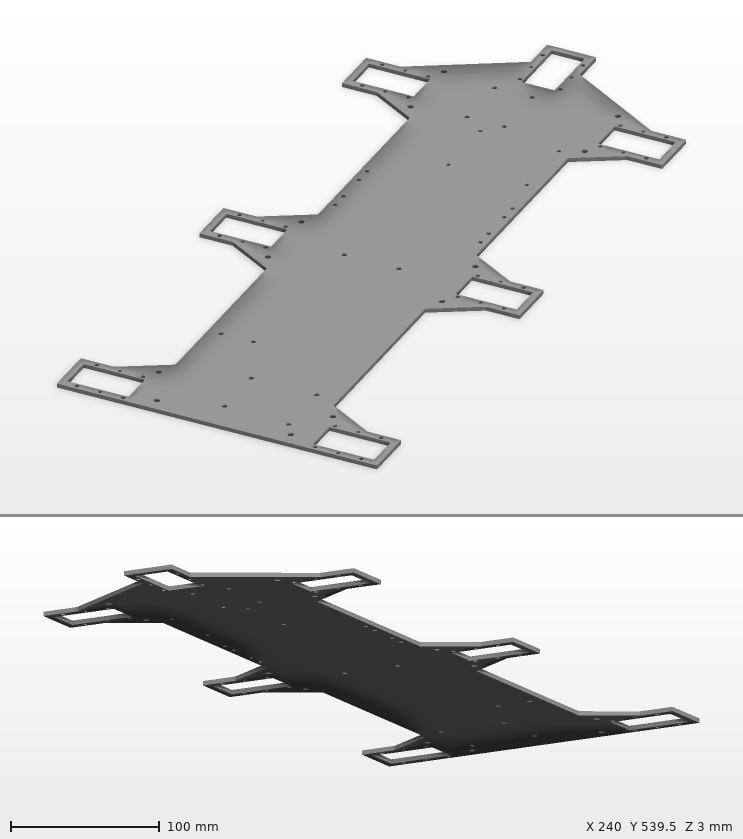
import cadquery as cq
import math

length = 539.5
width = 240.0
thickness = 3.0
body_half_width = 59.5
front_y = length / 2
rear_y = -length / 2
half_width = width / 2

mount_width = 36.5
mount_half_width = mount_width / 2
arm_pitch = 217.0
rear_arm_y = rear_y + mount_half_width
middle_arm_y = rear_arm_y + arm_pitch
front_arm_y = middle_arm_y + arm_pitch
nose_shoulder_y = 245.0

gusset_slope = math.tan(math.radians(30))
gusset_start_x = 95.0
front_gusset_start_x = 94.0

window_length = 46.0
window_width = 25.0
window_tip_wall = 5.0
screw_first = 13.5
screw_pitch = 17.0
screw_side_offset = 15.0
outer_screw_diameter = 3.2
middle_screw_diameter = 2.5

gusset_hole_x = 65.0
gusset_hole_offset = 25.5
gusset_hole_diameter = 4.5

front_bracket_diameter = 3.4
front_bracket_holes = [(x, y) for x in (-25.5, 2.5) for y in (162.0, 204.0)]
board_diameter = 2.9
board_holes = [(x, y) for x in (-9.0, 49.5) for y in (101.0, 149.5)]
edge_diameter = 3.2
edge_holes = [(x, y) for x in (-54.5, 54.5) for y in (20.5, 33.0, 56.5, 69.0)]
center_diameter = 3.6
center_holes = [(x, middle_arm_y) for x in (-20.5, 20.5)]
left_pair_diameter = 3.4
left_pair_holes = [(x, -163.0) for x in (-49.5, -25.5)]
rear_board_diameter = 3.6
rear_board_holes = [(-6.0, -205.5), (43.0, -205.5), (-6.0, -246.0), (43.0, -248.0)]
rear_corner_diameter = 4.5
rear_corner_holes = [(x, -259.5) for x in (-50.0, 50.0)]


def plate():
    """Flat plate with the outline mirrored about the Y axis."""
    gusset_drop = (gusset_start_x - body_half_width) * gusset_slope
    front_gusset_drop = (front_gusset_start_x - body_half_width) * gusset_slope
    front_arm_rear = front_arm_y - mount_half_width
    front_arm_front = front_arm_y + mount_half_width
    middle_arm_rear = middle_arm_y - mount_half_width
    middle_arm_front = middle_arm_y + mount_half_width
    rear_arm_front = rear_arm_y + mount_half_width
    right_side = [
        (half_width, rear_y),
        (half_width, rear_arm_front),
        (gusset_start_x, rear_arm_front),
        (body_half_width, rear_arm_front + gusset_drop),
        (body_half_width, middle_arm_rear - gusset_drop),
        (gusset_start_x, middle_arm_rear),
        (half_width, middle_arm_rear),
        (half_width, middle_arm_front),
        (gusset_start_x, middle_arm_front),
        (body_half_width, middle_arm_front + gusset_drop),
        (body_half_width, front_arm_rear - front_gusset_drop),
        (front_gusset_start_x, front_arm_rear),
        (half_width, front_arm_rear),
        (half_width, front_arm_front),
        (front_gusset_start_x, front_arm_front),
        (mount_half_width, nose_shoulder_y),
        (mount_half_width, front_y),
    ]
    left_side = [(-x, y) for x, y in reversed(right_side)]
    return cq.Workplane("XY").polyline(right_side + left_side).close().extrude(thickness)


def round_holes(centers, diameter):
    """Cutters for holes through the plate."""
    return cq.Workplane("XY").pushPoints(centers).circle(diameter / 2).extrude(thickness)


def servo_cutter(tip_x, tip_y, angle):
    """Window and six screw holes of a mount; at angle 0 the tip faces +X."""
    window_x = -window_tip_wall - window_length / 2
    window = cq.Workplane("XY").center(window_x, 0).rect(window_length, window_width)
    cutter = window.extrude(thickness)
    diameters = (outer_screw_diameter, middle_screw_diameter, outer_screw_diameter)
    for index, diameter in enumerate(diameters):
        screw_x = -screw_first - index * screw_pitch
        centers = [(screw_x, side * screw_side_offset) for side in (-1, 1)]
        cutter = cutter.union(round_holes(centers, diameter))
    return cutter.rotate((0, 0, 0), (0, 0, 1), angle).translate((tip_x, tip_y, 0))


result = plate()

result = result.cut(servo_cutter(0, front_y, 90))
for arm_y in (rear_arm_y, middle_arm_y, front_arm_y):
    result = result.cut(servo_cutter(half_width, arm_y, 0))
    result = result.cut(servo_cutter(-half_width, arm_y, 180))

gusset_hole_rows = [rear_arm_y + gusset_hole_offset]
for arm_y in (middle_arm_y, front_arm_y):
    gusset_hole_rows += [arm_y - gusset_hole_offset, arm_y + gusset_hole_offset]
gusset_holes = [(side * gusset_hole_x, y) for side in (-1, 1) for y in gusset_hole_rows]
result = result.cut(round_holes(gusset_holes, gusset_hole_diameter))

body_hole_groups = [
    (front_bracket_holes, front_bracket_diameter),
    (board_holes, board_diameter),
    (edge_holes, edge_diameter),
    (center_holes, center_diameter),
    (left_pair_holes, left_pair_diameter),
    (rear_board_holes, rear_board_diameter),
    (rear_corner_holes, rear_corner_diameter),
]
for centers, diameter in body_hole_groups:
    result = result.cut(round_holes(centers, diameter))